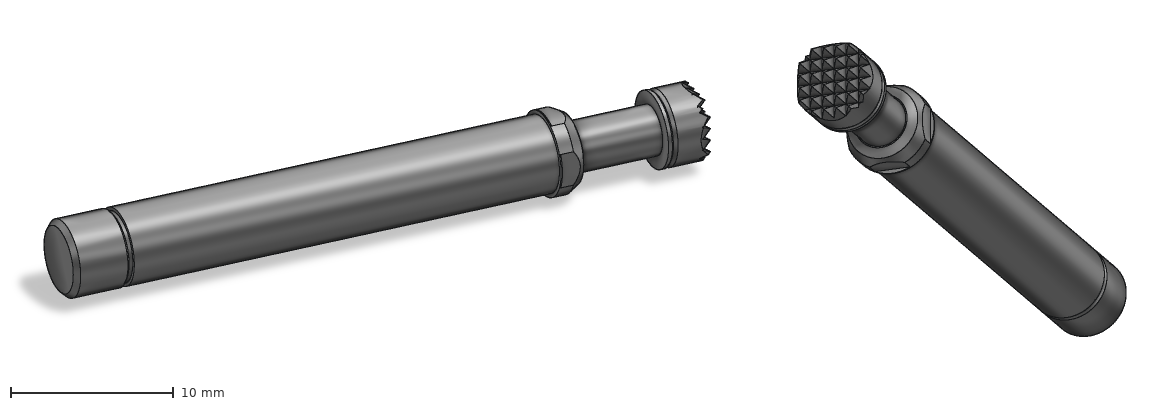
import cadquery as cq
import math

length = 43.1
body_radius = 2.5

tail_chamfer = 0.35
tail_groove_start = 3.55
tail_groove_width = 0.45
tail_groove_slope = 0.17
tail_groove_depth = 0.2

flange_radius = 2.75
flange_start = 32.65
flange_thickness = 0.1
collar_straight_end = 33.6
collar_cone_end = 34.4
collar_cone_radius = 2.33
collar_end = 34.65
collar_face_radius = 1.72
flat_count = 4

shaft_radius = 1.65
head_radius = body_radius
head_start = 40.05

head_lip = 0.25
head_groove_width = 0.4
head_groove_slope = 0.15
head_groove_depth = 0.15

teeth_per_row = 6
tooth_row_span = 4.0
tooth_pitch = tooth_row_span / (teeth_per_row - 1)
flank_angle = 60.0
flank_rise = math.tan(math.radians(flank_angle))
tooth_depth = tooth_pitch / 2 * flank_rise


def turned_blank():
    """Full turned profile, still with a flat tip."""
    groove_start = head_start + head_lip
    profile = [
        (0, 0),
        (body_radius - tail_chamfer, 0),
        (body_radius, tail_chamfer),
        (body_radius, tail_groove_start),
        (body_radius - tail_groove_depth, tail_groove_start + tail_groove_slope),
        (body_radius - tail_groove_depth, tail_groove_start + tail_groove_width),
        (body_radius, tail_groove_start + tail_groove_width),
        (body_radius, flange_start),
        (flange_radius, flange_start),
        (flange_radius, collar_straight_end),
        (collar_cone_radius, collar_cone_end),
        (collar_face_radius, collar_end),
        (shaft_radius, collar_end),
        (shaft_radius, head_start),
        (head_radius, head_start),
        (head_radius, groove_start),
        (head_radius - head_groove_depth, groove_start + head_groove_slope),
        (head_radius, groove_start + head_groove_width),
        (head_radius, length),
        (0, length),
    ]
    return cq.Workplane("XY").polyline(profile).close().revolve(360, (0, 0, 0), (0, 1, 0))


def collar_flat_cutter():
    """Ring-shaped cutter with a square hole, leaving flats level with the body."""
    start = flange_start + flange_thickness
    return (
        cq.Workplane("XZ", origin=(0, start, 0))
        .circle(2 * flange_radius)
        .polygon(flat_count, 2 * body_radius, circumscribed=True)
        .extrude(start - collar_end)
    )


def tooth_row_envelope():
    """Prism along Z whose +Y end is a row of pointed teeth across X."""
    half_width = 2 * head_radius
    shoulder = length - (half_width - tooth_row_span / 2) * flank_rise
    outline = [(-half_width, 0), (-half_width, shoulder)]
    for tooth in range(teeth_per_row):
        tip_x = tooth * tooth_pitch - tooth_row_span / 2
        if tooth > 0:
            outline.append((tip_x - tooth_pitch / 2, length - tooth_depth))
        outline.append((tip_x, length))
    outline += [(half_width, shoulder), (half_width, 0)]
    return cq.Workplane("XY").polyline(outline).close().extrude(half_width, both=True)


tooth_rows = tooth_row_envelope()
crossed_rows = tooth_rows.rotate((0, 0, 0), (0, 1, 0), 90)

result = turned_blank().cut(collar_flat_cutter()).intersect(tooth_rows).intersect(crossed_rows)